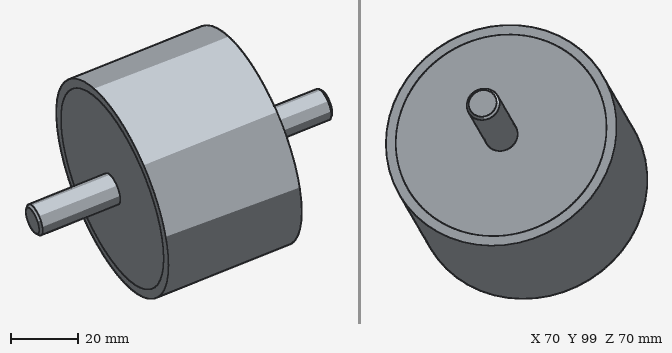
import cadquery as cq

total_length = 99.0
buffer_diameter = 70.0
buffer_length = 45.0
plate_diameter = 64.0
plate_thickness = 2.0
stud_diameter = 10.0
stud_chamfer = 0.8

stud_length = (total_length - buffer_length) / 2


def disc_along_y(diameter, start_y, length):
    """Cylinder on the Y axis, running from start_y towards +Y."""
    return cq.Workplane("XZ", origin=(0, start_y, 0)).circle(diameter / 2).extrude(-length)


def make_rubber_buffer():
    """Rubber cylinder with a flush recess for a plate in each end."""
    buffer = disc_along_y(buffer_diameter, -buffer_length / 2, buffer_length)
    for recess_start in (-buffer_length / 2, buffer_length / 2 - plate_thickness):
        buffer = buffer.cut(disc_along_y(plate_diameter, recess_start, plate_thickness))
    return buffer


def make_studded_plate(turn):
    """End plate with its chamfered stud, facing -Y and then turned about Z."""
    plate = disc_along_y(plate_diameter, -buffer_length / 2, plate_thickness)
    stud = disc_along_y(stud_diameter, -total_length / 2, stud_length)
    stud = stud.faces("<Y").chamfer(stud_chamfer)
    return plate.union(stud).rotate((0, 0, 0), (0, 0, 1), turn)


rubber_buffer = make_rubber_buffer()
studded_plates = [make_studded_plate(turn) for turn in (0, 180)]

result = cq.Compound.makeCompound(
    [rubber_buffer.val(), *[plate.val() for plate in studded_plates]]
)